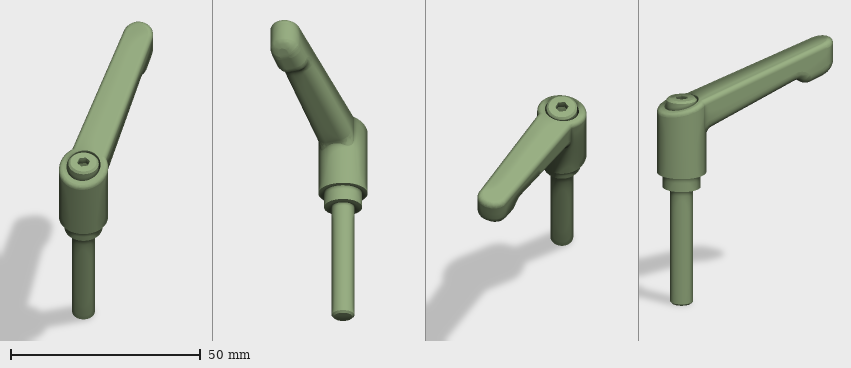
import cadquery as cq
import math

COLLAR_BOTTOM = 32.1
HUB_BOTTOM = 36.1
SCREW_SEAT = 46.9
SCREW_TOP = 56.6

HUB_RADIUS = 6.5
BORE_DIAMETER = 9.0
HUB_EDGE_RADIUS = 1.1
TOP_HEIGHT_AT_AXIS = 55.2
TOP_SLOPE = math.tan(math.radians(15.1))

TIP_Y = 45.0
TIP_RADIUS = 4.0
ROOT_HALF_WIDTH = 4.95
ARM_TOP_RADIUS = 1.3
ARM_UNDERSIDE_RADIUS = 2.8

ROOT_Y = 5.75
ROOT_BOTTOM = 45.55
ROOT_CORNER = (ROOT_Y, 47.7)
NOTCH_CORNER = (33.7, 57.3)
BUMP_CORNER = (35.65, 55.35)
HEEL_START = (41.7, 57.15)
HEEL_END = (TIP_Y, 59.55)
ROOT_BLEND_RADIUS = 2.0
NOTCH_RADIUS = 1.8
BUMP_RADIUS = 2.9
HEEL_RADIUS = 4.0

STUD_DIAMETER = 6.0
STUD_CHAMFER = 0.55
COLLAR_DIAMETER = 10.05

SCREW_DIAMETER = 8.05
SCREW_CHAMFER = 0.55
HEX_ACROSS_FLATS = 3.0
HEX_DEPTH = 2.0


def top_height(y):
    """Height of the inclined top face at a given Y."""
    return TOP_HEIGHT_AT_AXIS + TOP_SLOPE * y


def cylinder(diameter, bottom, top):
    return cq.Workplane("XY").workplane(offset=bottom).circle(diameter / 2).extrude(top - bottom)


def side_prism(points):
    """Extrude a (Y, Z) outline symmetrically to well beyond the hub on both sides."""
    return cq.Workplane("YZ").polyline(points).close().extrude(2 * HUB_RADIUS, both=True)


def edge_at(y, z):
    """Selector for the edge that crosses the YZ plane nearest to a point."""
    return cq.selectors.NearestToPointSelector((0, y, z))


def make_hub():
    clearance = 2 * HUB_RADIUS
    hub = cylinder(2 * HUB_RADIUS, HUB_BOTTOM, top_height(HUB_RADIUS) + HUB_RADIUS)
    below_top = side_prism([
        (-clearance, 0),
        (clearance, 0),
        (clearance, top_height(clearance)),
        (-clearance, top_height(-clearance)),
    ])
    return hub.intersect(below_top).faces(">Z").edges().fillet(HUB_EDGE_RADIUS)


def make_arm_profile():
    profile = side_prism([
        (0, ROOT_BOTTOM),
        (ROOT_Y, ROOT_BOTTOM),
        ROOT_CORNER,
        NOTCH_CORNER,
        BUMP_CORNER,
        HEEL_START,
        HEEL_END,
        (TIP_Y, top_height(TIP_Y)),
        (0, top_height(0)),
    ])
    rounded_corners = [
        (ROOT_CORNER, ROOT_BLEND_RADIUS),
        (NOTCH_CORNER, NOTCH_RADIUS),
        (BUMP_CORNER, BUMP_RADIUS),
        (HEEL_START, HEEL_RADIUS),
    ]
    for corner, radius in rounded_corners:
        profile = profile.edges("|X").edges(edge_at(*corner)).fillet(radius)
    return profile


def make_arm_plan():
    """Tapered plan outline whose straight flanks run tangentially into the round tip."""
    tip_center_y = TIP_Y - TIP_RADIUS
    reach = math.hypot(tip_center_y, ROOT_HALF_WIDTH)
    taper = math.asin(TIP_RADIUS / reach) - math.atan2(ROOT_HALF_WIDTH, tip_center_y)
    tangent_x = TIP_RADIUS * math.cos(taper)
    tangent_y = tip_center_y - TIP_RADIUS * math.sin(taper)
    return (
        cq.Workplane("XY")
        .moveTo(-ROOT_HALF_WIDTH, 0)
        .lineTo(ROOT_HALF_WIDTH, 0)
        .lineTo(tangent_x, tangent_y)
        .threePointArc((0, TIP_Y), (-tangent_x, tangent_y))
        .close()
        .extrude(top_height(TIP_Y))
    )


def make_arm():
    arm = make_arm_plan().intersect(make_arm_profile())
    middle_y = (ROOT_CORNER[0] + NOTCH_CORNER[0]) / 2
    middle_z = (ROOT_CORNER[1] + NOTCH_CORNER[1]) / 2
    lower_edge = cq.selectors.NearestToPointSelector((TIP_RADIUS, middle_y, middle_z))
    upper_edge = cq.selectors.NearestToPointSelector((TIP_RADIUS, middle_y, top_height(middle_y)))
    arm = arm.edges(lower_edge).fillet(ARM_UNDERSIDE_RADIUS)
    return arm.edges(upper_edge).fillet(ARM_TOP_RADIUS)


def make_handle():
    bore = cylinder(BORE_DIAMETER, HUB_BOTTOM, top_height(HUB_RADIUS))
    return make_hub().union(make_arm()).cut(bore)


def make_insert():
    """Stud and collar, with a round shank that fills the bore up to the screw seat."""
    stud = cylinder(STUD_DIAMETER, 0, COLLAR_BOTTOM).faces("<Z").chamfer(STUD_CHAMFER)
    collar = cylinder(COLLAR_DIAMETER, COLLAR_BOTTOM, HUB_BOTTOM)
    shank = cylinder(BORE_DIAMETER, HUB_BOTTOM, SCREW_SEAT)
    return stud.union(collar).union(shank)


def make_screw():
    screw = cylinder(SCREW_DIAMETER, SCREW_SEAT, SCREW_TOP).faces(">Z").chamfer(SCREW_CHAMFER)
    across_corners = HEX_ACROSS_FLATS / math.cos(math.pi / 6)
    socket = (
        cq.Workplane("XY")
        .workplane(offset=SCREW_TOP - HEX_DEPTH)
        .transformed(rotate=(0, 0, 90))
        .polygon(6, across_corners)
        .extrude(HEX_DEPTH)
    )
    return screw.cut(socket)


handle = make_handle()
insert = make_insert()
screw = make_screw()

result = cq.Compound.makeCompound([handle.val(), insert.val(), screw.val()])